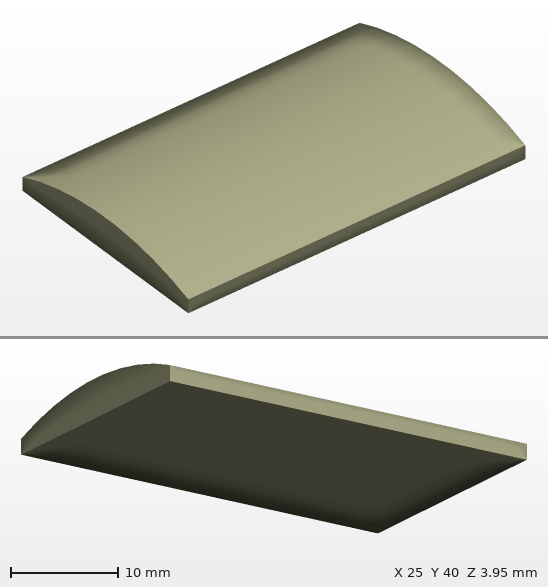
import cadquery as cq
import math

width = 25.0
length = 40.0
center_thickness = 3.95
crown_radius = 34.28

half_width = width / 2
crown_rise = crown_radius - math.sqrt(crown_radius**2 - half_width**2)
edge_thickness = center_thickness - crown_rise


def lens_profile():
    """Cross-section in the XZ plane, centred on X with its base at Z = 0."""
    return (
        cq.Workplane("XZ")
        .moveTo(-half_width, 0)
        .lineTo(half_width, 0)
        .lineTo(half_width, edge_thickness)
        .threePointArc((0, center_thickness), (-half_width, edge_thickness))
        .close()
    )


result = lens_profile().extrude(length / 2, both=True)